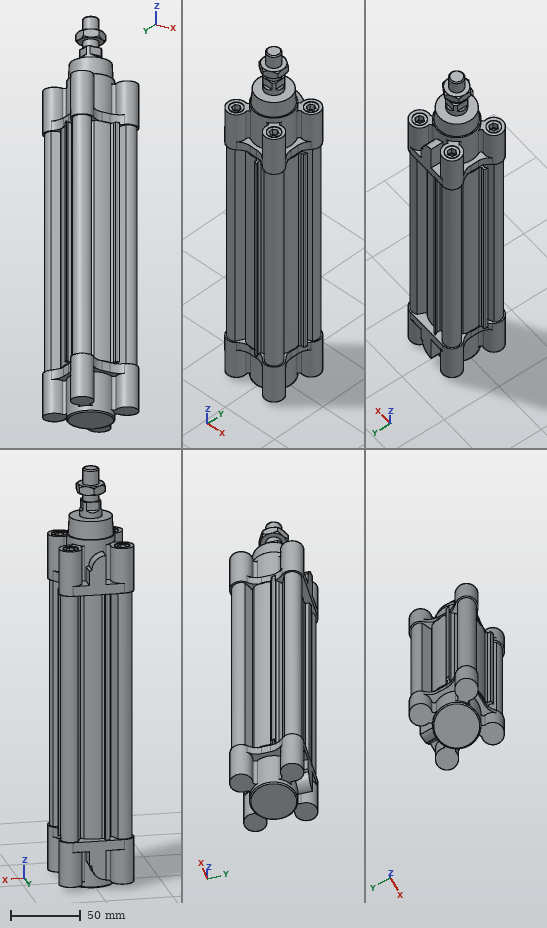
import cadquery as cq
import math

TOTAL_LENGTH = 313
CAP_HEIGHT = 33.8
FLANGE_HEIGHT = 7.5
COLLAR_HEIGHT = 4.7
TUBE_LENGTH = 186.5
TUBE_Z = COLLAR_HEIGHT + CAP_HEIGHT
TOP_CAP_Z = TUBE_Z + TUBE_LENGTH
CAP_TOP_Z = TOP_CAP_Z + CAP_HEIGHT
COLLAR_TOP_Z = CAP_TOP_Z + COLLAR_HEIGHT

WIDTH = 55.0
POST_RADIUS = 8.5
POST_OFFSET = WIDTH / 2 - POST_RADIUS
COLLAR_DIAMETER = 35.0
COLLAR_CHAMFER = 1.0
POST_FILLET = 2.0
FLANGE_FLAT = 7.0

PORT_LEFT_X = -5.3
PORT_ROOF_RADIUS = 10.3
PORT_RIGHT_X = 7.0
PORT_RISE = 22.0
PORT_STEP_DROP = 1.0

COUNTERBORE_DIAMETER = 11.3
COUNTERBORE_DEPTH = 0.5
SOCKET_CORNERS = 7.2
SOCKET_DEPTH = 5.5
BORE_DIAMETER = 5.0
BORE_DEPTH = 8.8

CORE_RADIUS = 22.0
COLUMN_RADIUS = 7.2
COLUMN_CREASE = 14.7
FLANK_FOOT = (11.3, 17.2)
GROOVE_EDGE = (9.5, 19.5)
LIP_OUTLINE = (
    (3.5, 20.5),
    (3.5, 21.5),
    (5.3, 22.5),
    (5.3, 25.0),
    (6.5, 25.7),
    (8.5, 26.0),
    (7.2, 23.8),
    (7.2, 20.5),
)

NOSE_BASE_DIAMETER = 33.0
NOSE_TOP_DIAMETER = 31.3
NOSE_HEIGHT = 13.5
NOSE_TOP_Z = COLLAR_TOP_Z + NOSE_HEIGHT

ROD_DIAMETER = 16.0
ROD_SEAT_Z = CAP_TOP_Z
FLATS_WIDTH = 13.0
FLATS_Z = 282.5
ROD_SHOULDER_Z = 289.0
STUD_DIAMETER = 12.0
STUD_CHAMFER = 1.0

NUT_WIDTH = 19.0
NUT_HEIGHT = 6.5
NUT_Z = 295.0
NUT_FACE_DIAMETER = 19.0
NUT_CHAMFER_RISE = 1.3

CORNER_ANGLES = (45, 135, 225, 315)
SIDE_ANGLES = (0, 90, 180, 270)
WAISTED_SIDES = (0, 90, 270)


def at_height(z):
    """Workplane normal to the cylinder axis at height z."""
    return cq.Workplane("XY", origin=(0, 0, z))


def post_centers(z):
    """Workplane with one point on each post axis."""
    return at_height(z).rect(2 * POST_OFFSET, 2 * POST_OFFSET, forConstruction=True).vertices()


def flange():
    """Plate between the posts: three waisted sides and a straight +Y side."""
    flat = FLANGE_FLAT / 2
    post_diagonal = POST_RADIUS * math.sqrt(0.5)
    end_x = POST_OFFSET - post_diagonal
    end_y = POST_OFFSET + post_diagonal
    arc_radius = (end_x - flat) * math.sqrt(2)
    waist_y = end_y - arc_radius * (1 - math.sqrt(0.5))
    half_turn = math.radians(45) / 2
    mid_x = flat + arc_radius * math.sin(half_turn)
    mid_y = waist_y + arc_radius * (1 - math.cos(half_turn))
    sector = (
        at_height(0)
        .lineTo(POST_OFFSET, -POST_OFFSET)
        .lineTo(end_x, -end_y)
        .threePointArc((mid_x, -mid_y), (flat, -waist_y))
        .lineTo(-flat, -waist_y)
        .threePointArc((-mid_x, -mid_y), (-end_x, -end_y))
        .lineTo(-POST_OFFSET, -POST_OFFSET)
        .close()
        .extrude(FLANGE_HEIGHT)
    )
    plate = at_height(0).rect(2 * POST_OFFSET, WIDTH / 2, centered=(True, False)).extrude(FLANGE_HEIGHT)
    for angle in WAISTED_SIDES:
        plate = plate.union(sector.rotate((0, 0, 0), (0, 0, 1), angle))
    return plate


def post_webs():
    """Necks between the collar and the posts, hollowed by a fillet on both sides."""
    collar_reach = COLLAR_DIAMETER / 2 + POST_FILLET
    post_reach = POST_RADIUS + POST_FILLET
    spacing = POST_OFFSET * math.sqrt(2)
    center_x = (spacing**2 + collar_reach**2 - post_reach**2) / (2 * spacing)
    center_y = math.sqrt(collar_reach**2 - center_x**2)
    web = (
        at_height(0)
        .moveTo(spacing / 2, 0)
        .rect(spacing, 2 * center_y)
        .extrude(CAP_HEIGHT)
        .cut(
            at_height(0)
            .pushPoints([(center_x, center_y), (center_x, -center_y)])
            .circle(POST_FILLET)
            .extrude(CAP_HEIGHT)
        )
    )
    kite = (
        at_height(0)
        .polyline([(0, 0), (center_x, center_y), (spacing, 0), (center_x, -center_y)])
        .close()
        .extrude(CAP_HEIGHT)
    )
    web = web.intersect(kite)
    webs = at_height(0)
    for angle in CORNER_ANGLES:
        webs = webs.add(web.rotate((0, 0, 0), (0, 0, 1), angle))
    return webs.combine()


def port_boss():
    """Boss that runs from the collar to the +Y face."""
    top = FLANGE_HEIGHT + PORT_RISE
    roof_end_x = PORT_LEFT_X + PORT_ROOF_RADIUS
    roof_end_z = top - PORT_ROOF_RADIUS
    roof_mid = PORT_ROOF_RADIUS * math.sqrt(0.5)
    return (
        cq.Workplane("XZ")
        .moveTo(PORT_LEFT_X, 0)
        .lineTo(PORT_LEFT_X, top)
        .threePointArc((PORT_LEFT_X + roof_mid, roof_end_z + roof_mid), (roof_end_x, roof_end_z))
        .lineTo(PORT_RIGHT_X, roof_end_z - PORT_STEP_DROP)
        .lineTo(PORT_RIGHT_X, 0)
        .close()
        .extrude(-WIDTH / 2)
    )


def end_cap():
    """One end cap standing on its flange, its collar pointing up."""
    collar = at_height(0).circle(COLLAR_DIAMETER / 2).extrude(CAP_HEIGHT + COLLAR_HEIGHT)
    posts = post_centers(0).circle(POST_RADIUS).extrude(CAP_HEIGHT)
    return collar.union(posts).union(post_webs()).union(flange()).union(port_boss())


def column_y_at_crease():
    """Distance of the crease from the axis, measured outward across the side."""
    return POST_OFFSET + math.sqrt(COLUMN_RADIUS**2 - (POST_OFFSET - COLUMN_CREASE) ** 2)


def column_flanks():
    """Four wedges that join the corner columns to the core with flat flanks."""
    crease_near = COLUMN_CREASE
    crease_far = column_y_at_crease()
    foot_near, foot_far = FLANK_FOOT
    wedge = (
        at_height(0)
        .polyline(
            [
                (0, 0),
                (foot_far, foot_near),
                (crease_far, crease_near),
                (crease_near, crease_far),
                (foot_near, foot_far),
            ]
        )
        .close()
        .extrude(TUBE_LENGTH)
    )
    wedges = wedge
    for angle in SIDE_ANGLES[1:]:
        wedges = wedges.union(wedge.rotate((0, 0, 0), (0, 0, 1), angle))
    return wedges


def flank_grooves():
    """V grooves at the foot of both column flanks on the -Y side."""
    crease_y = column_y_at_crease()
    foot_x, foot_y = FLANK_FOOT
    edge_x, edge_y = GROOVE_EDGE
    groove = (
        at_height(0)
        .polyline([(edge_x, -edge_y), (foot_x, -foot_y), (COLUMN_CREASE, -crease_y), (edge_x, -crease_y)])
        .close()
        .extrude(TUBE_LENGTH)
    )
    return groove.union(groove.mirror("YZ"))


def hooked_lip():
    """Lip that rises from the core on the -Y side and hooks toward +X."""
    return at_height(0).polyline([(x, -y) for x, y in LIP_OUTLINE]).close().extrude(TUBE_LENGTH)


def tube():
    """Extruded profile between the caps."""
    profile = at_height(0).circle(CORE_RADIUS).extrude(TUBE_LENGTH)
    profile = profile.union(post_centers(0).circle(COLUMN_RADIUS).extrude(TUBE_LENGTH))
    profile = profile.union(column_flanks())
    grooves = flank_grooves()
    lip = hooked_lip()
    for angle in SIDE_ANGLES:
        profile = profile.cut(grooves.rotate((0, 0, 0), (0, 0, 1), angle))
        profile = profile.union(lip.rotate((0, 0, 0), (0, 0, 1), angle))
    return profile.translate((0, 0, TUBE_Z))


def nose():
    """Tapered bearing nose on the top collar."""
    return (
        cq.Workplane("XZ", origin=(0, 0, COLLAR_TOP_Z))
        .lineTo(NOSE_BASE_DIAMETER / 2, 0)
        .lineTo(NOSE_TOP_DIAMETER / 2, NOSE_HEIGHT)
        .lineTo(0, NOSE_HEIGHT)
        .close()
        .revolve()
    )


def post_recess(diameter, depth):
    """Round recesses sunk into the tops of the four posts."""
    return post_centers(CAP_TOP_Z).circle(diameter / 2).extrude(-depth)


def post_sockets():
    """Hexagon sockets in the four posts, with corners along Y."""
    hexagon = at_height(CAP_TOP_Z).transformed(rotate=(0, 0, 90))
    return (
        hexagon.rect(2 * POST_OFFSET, 2 * POST_OFFSET, forConstruction=True)
        .vertices()
        .polygon(6, SOCKET_CORNERS)
        .extrude(-SOCKET_DEPTH)
    )


def make_housing():
    """Tube with both end caps and the bearing nose."""
    cap = end_cap()
    bottom_cap = cap.faces(">Z").edges().chamfer(COLLAR_CHAMFER).mirror("XY").translate((0, 0, TUBE_Z))
    top_cap = cap.translate((0, 0, TOP_CAP_Z))
    housing = tube().union(bottom_cap).union(top_cap).union(nose())
    housing = housing.cut(post_recess(COUNTERBORE_DIAMETER, COUNTERBORE_DEPTH))
    housing = housing.cut(post_sockets())
    housing = housing.cut(post_recess(BORE_DIAMETER, BORE_DEPTH))
    rod_hole = at_height(ROD_SEAT_Z).circle(ROD_DIAMETER / 2).extrude(NOSE_TOP_Z - ROD_SEAT_Z)
    return housing.cut(rod_hole)


def wrench_square():
    """Square section for the wrench that widens at 45 degrees into the round rod."""
    flare = (ROD_DIAMETER - FLATS_WIDTH) / 2
    square = at_height(FLATS_Z).rect(FLATS_WIDTH, FLATS_WIDTH).extrude(ROD_SHOULDER_Z - FLATS_Z)
    base = (
        at_height(FLATS_Z - flare)
        .rect(ROD_DIAMETER, ROD_DIAMETER)
        .workplane(offset=flare)
        .rect(FLATS_WIDTH, FLATS_WIDTH)
        .loft()
    )
    return square.union(base)


def make_rod():
    """Piston rod with wrench flats and a plain stud."""
    flare = (ROD_DIAMETER - FLATS_WIDTH) / 2
    shank = at_height(ROD_SEAT_Z).circle(ROD_DIAMETER / 2).extrude(FLATS_Z - flare - ROD_SEAT_Z)
    flats = (
        at_height(FLATS_Z - flare)
        .circle(ROD_DIAMETER / 2)
        .extrude(ROD_SHOULDER_Z - FLATS_Z + flare)
        .intersect(wrench_square())
    )
    stud = (
        at_height(ROD_SHOULDER_Z)
        .circle(STUD_DIAMETER / 2)
        .extrude(TOTAL_LENGTH - ROD_SHOULDER_Z)
        .faces(">Z")
        .chamfer(STUD_CHAMFER)
    )
    return shank.union(flats).union(stud)


def make_nut():
    """Hexagonal lock nut, its corners chamfered on both faces."""
    corner_diameter = NUT_WIDTH / math.cos(math.radians(30))
    radius = corner_diameter / 2
    face_radius = NUT_FACE_DIAMETER / 2
    blank = (
        cq.Workplane("XZ", origin=(0, 0, NUT_Z))
        .lineTo(face_radius, 0)
        .lineTo(radius, NUT_CHAMFER_RISE)
        .lineTo(radius, NUT_HEIGHT - NUT_CHAMFER_RISE)
        .lineTo(face_radius, NUT_HEIGHT)
        .lineTo(0, NUT_HEIGHT)
        .close()
        .revolve()
    )
    hexagon = (
        at_height(NUT_Z)
        .polygon(6, corner_diameter)
        .extrude(NUT_HEIGHT)
        .rotate((0, 0, 0), (0, 0, 1), 90)
    )
    bore = at_height(NUT_Z).circle(STUD_DIAMETER / 2).extrude(NUT_HEIGHT)
    return hexagon.intersect(blank).cut(bore)


housing = make_housing()
rod = make_rod()
nut = make_nut()
result = cq.Compound.makeCompound([housing.val(), rod.val(), nut.val()])